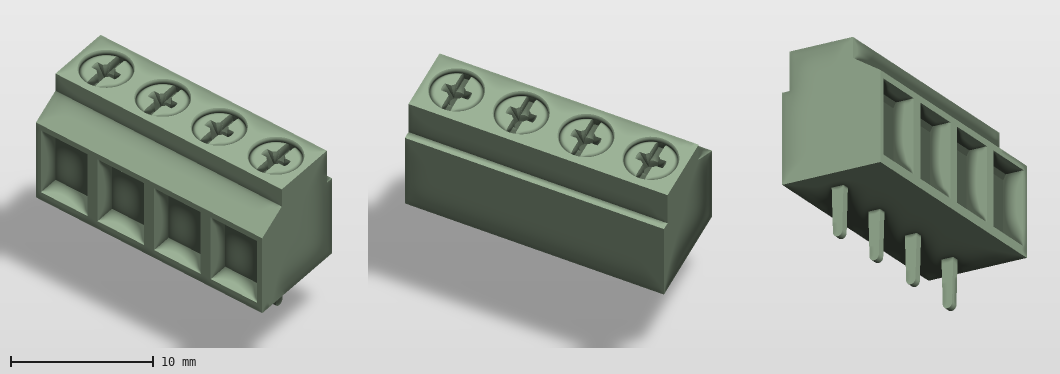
import cadquery as cq

LENGTH = 20.0
DEPTH = 8.0
HEIGHT = 10.0
SHOULDER_HEIGHT = 7.0
FRONT_SLOPE_DEPTH = 2.25
FRONT_SLOPE_TOP = 8.4
BACK_STEP = 0.6

POLE_COUNT = 4
PITCH = LENGTH / POLE_COUNT
POLE_Y = 4.8

POCKET_WIDTH = 4.1
POCKET_BOTTOM = 0.72
POCKET_TOP = 6.5
POCKET_DEPTH = 1.65
POCKET_BEVEL_HEIGHT = 0.4
POCKET_BEVEL_DEPTH = 0.22

HEAD_DIAMETER = 4.0
HEAD_RECESS = 0.18
HEAD_ROUNDING = 0.55
HEAD_THICKNESS = 1.8
HEAD_TOP = HEIGHT - HEAD_RECESS
HEAD_BOTTOM = HEAD_TOP - HEAD_THICKNESS

LIP_HEIGHT = 0.5
LIP_BULGE = 0.1

SLOT_TOP_WIDTH = 0.7
SLOT_FLOOR_WIDTH = 0.65
SLOT_DEPTH = 0.85
CROSS_DEPTH = 1.28
CROSS_ARM_WIDTH = 0.7
CROSS_TOP_RADIUS = 1.1
CROSS_CORE_RADIUS = 0.65
CROSS_BOTTOM_RADIUS = 0.48
CROSS_TIP_DEPTH = 0.25

PIN_THICKNESS = 0.6
PIN_WIDTH = 0.95
PIN_TIP_WIDTH = 0.75
PIN_LENGTH = 3.8


def pole_x(index):
    return (index + 0.5) * PITCH


def yz_extrusion(outline, width):
    """Extrude a YZ sketch by width, centred on X = 0."""
    return outline.extrude(width / 2, both=True)


def make_block():
    profile = cq.Workplane("YZ").polyline([
        (0, 0),
        (DEPTH, 0),
        (DEPTH, SHOULDER_HEIGHT),
        (DEPTH - BACK_STEP, SHOULDER_HEIGHT),
        (DEPTH - BACK_STEP, HEIGHT),
        (FRONT_SLOPE_DEPTH, HEIGHT),
        (FRONT_SLOPE_DEPTH, FRONT_SLOPE_TOP),
        (0, SHOULDER_HEIGHT),
    ]).close()
    return profile.extrude(LENGTH)


def make_pocket():
    """Wire pocket whose back wall leans forward just below the ceiling."""
    profile = cq.Workplane("YZ").polyline([
        (0, POCKET_BOTTOM),
        (POCKET_DEPTH, POCKET_BOTTOM),
        (POCKET_DEPTH, POCKET_TOP - POCKET_BEVEL_HEIGHT),
        (POCKET_DEPTH - POCKET_BEVEL_DEPTH, POCKET_TOP),
        (0, POCKET_TOP),
    ]).close()
    return yz_extrusion(profile, POCKET_WIDTH)


def make_screw_bore():
    """Bore for the screw head, narrowed by a rounded lip at its mouth."""
    radius = HEAD_DIAMETER / 2
    profile = (
        cq.Workplane("XZ", origin=(0, POLE_Y, 0))
        .moveTo(0, HEAD_BOTTOM)
        .lineTo(radius, HEAD_BOTTOM)
        .lineTo(radius, HEIGHT - LIP_HEIGHT)
        .threePointArc((radius - LIP_BULGE, HEIGHT - LIP_HEIGHT / 2), (radius, HEIGHT))
        .lineTo(0, HEIGHT)
        .close()
    )
    return profile.revolve(360, (0, 0, 0), (0, 1, 0))


def make_pin():
    """Straight inside the housing, tapered below it, with a round tip."""
    half_width = PIN_WIDTH / 2
    tip_radius = PIN_TIP_WIDTH / 2
    tip_start = tip_radius - PIN_LENGTH
    profile = (
        cq.Workplane("YZ", origin=(0, POLE_Y, 0))
        .moveTo(-half_width, HEAD_BOTTOM)
        .lineTo(-half_width, 0)
        .lineTo(-tip_radius, tip_start)
        .threePointArc((0, -PIN_LENGTH), (tip_radius, tip_start))
        .lineTo(half_width, 0)
        .lineTo(half_width, HEAD_BOTTOM)
        .close()
    )
    return yz_extrusion(profile, PIN_THICKNESS)


def make_tapered_plug(top_radius):
    """Cone frustum with a shallow point, narrowing down from the head top."""
    profile = cq.Workplane("XZ", origin=(0, POLE_Y, HEAD_TOP)).polyline([
        (0, 0),
        (top_radius, 0),
        (CROSS_BOTTOM_RADIUS, -CROSS_DEPTH),
        (0, -CROSS_DEPTH - CROSS_TIP_DEPTH),
    ]).close()
    return profile.revolve(360, (0, 0, 0), (0, 1, 0))


def make_slot():
    """Slot along Y across the whole head, slightly narrower at its floor."""
    profile = cq.Workplane("XZ", origin=(0, POLE_Y, HEAD_TOP)).polyline([
        (-SLOT_TOP_WIDTH / 2, 0),
        (SLOT_TOP_WIDTH / 2, 0),
        (SLOT_FLOOR_WIDTH / 2, -SLOT_DEPTH),
        (-SLOT_FLOOR_WIDTH / 2, -SLOT_DEPTH),
    ]).close()
    return profile.extrude(HEAD_DIAMETER / 2, both=True)


def make_drive_recess():
    top = cq.Workplane("XY", origin=(0, POLE_Y, HEAD_TOP))
    arms_depth = CROSS_DEPTH + CROSS_TIP_DEPTH
    arm_x = top.rect(HEAD_DIAMETER, CROSS_ARM_WIDTH).extrude(-arms_depth)
    arm_y = top.rect(CROSS_ARM_WIDTH, HEAD_DIAMETER).extrude(-arms_depth)
    arms = arm_x.union(arm_y).intersect(make_tapered_plug(CROSS_TOP_RADIUS))
    return arms.union(make_tapered_plug(CROSS_CORE_RADIUS)).union(make_slot())


def make_contact():
    """Clamping screw and solder pin of one pole, in one piece."""
    head = (
        cq.Workplane("XY", origin=(0, POLE_Y, HEAD_BOTTOM))
        .circle(HEAD_DIAMETER / 2)
        .extrude(HEAD_THICKNESS)
        .faces(">Z")
        .edges()
        .fillet(HEAD_ROUNDING)
    )
    return head.cut(make_drive_recess()).union(make_pin())


def make_housing():
    housing = make_block()
    pole_cavity = make_pocket().union(make_screw_bore()).union(make_pin())
    for index in range(POLE_COUNT):
        housing = housing.cut(pole_cavity.translate((pole_x(index), 0, 0)))
    return housing


housing = make_housing().solids()
contacts = [make_contact().translate((pole_x(index), 0, 0)).solids() for index in range(POLE_COUNT)]

result = cq.Compound.makeCompound([housing.val(), *[contact.val() for contact in contacts]])